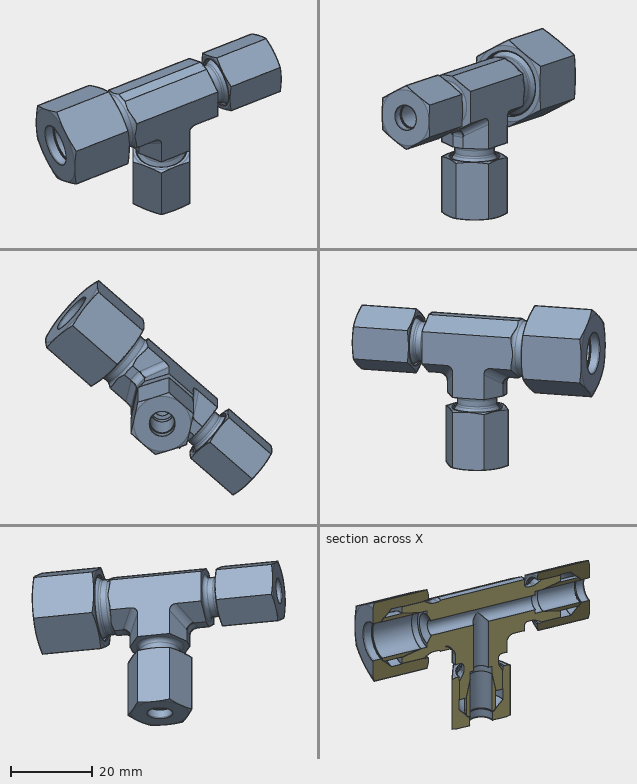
import cadquery as cq
import math


ARM_REACH = 30.0
HOLE_START = 27.7
THREAD_END = 22.0
TUBE_STOP = 15.0

BODY_ACROSS_FLATS = 14.0
BODY_HEIGHT = 14.4
ELBOW_RADIUS = 2.0
BORE_DIAMETER = 4.0
FLOW_CONE_DIAMETER = 8.0
FLOW_CONE_LENGTH = 1.15

RELIEF_RADIUS = 1.0
RUNOUT_ANGLE = math.radians(30)
RUNOUT_TO_NUT = 0.55
SEAT_ANGLE = math.radians(12)

HEX_CHAMFER_ANGLE = math.radians(15)
MOUTH_CHAMFER = 0.25
HOLE_CLEARANCE = 0.2
LIP_WIDTH = 0.09
LIP_DEPTH = 0.3
FERRULE_GAP = 0.35

LARGE = {
    "shoulder": 11.0,
    "neck_diameter": 13.7,
    "thread_diameter": 16.0,
    "seat_diameter": 12.3,
    "tube_diameter": 10.0,
    "nut_face": 14.5,
    "nut_across_flats": 19.0,
}
SMALL = {
    "shoulder": 12.0,
    "neck_diameter": 9.7,
    "thread_diameter": 12.0,
    "seat_diameter": 8.1,
    "tube_diameter": 6.0,
    "nut_face": 15.5,
    "nut_across_flats": BODY_ACROSS_FLATS,
}



def turn_about_x(shape, degrees):
    return shape.rotate((0, 0, 0), (1, 0, 0), degrees)


def to_front(shape):
    """Turn +Z to -Y."""
    return turn_about_x(shape, 90)


def to_back(shape):
    """Turn +Z to +Y."""
    return turn_about_x(shape, -90)


def to_bottom(shape):
    """Turn +Z to -Z."""
    return turn_about_x(shape, 180)


ARMS = [(LARGE, to_front), (SMALL, to_back), (SMALL, to_bottom)]


def revolve(profile):
    """Close a (radius, height) profile and turn it around Z."""
    return profile.close().revolve(360, (0, 0, 0), (0, 1, 0))


def corner_radius(across_flats):
    return across_flats / 2 / math.cos(math.pi / 6)


def hex_bar(across_flats, start, end):
    """Hexagonal bar along Z with flats facing -X and +X."""
    bar = cq.Workplane("XY").polygon(6, 2 * corner_radius(across_flats)).extrude(end - start)
    return bar.rotate((0, 0, 0), (0, 0, 1), 90).translate((0, 0, start))


def seat_start(size):
    """Height at which the ferrule seat begins to widen from the tube socket."""
    widening = (size["seat_diameter"] - size["tube_diameter"]) / 2
    return THREAD_END - widening / math.tan(SEAT_ANGLE)


def hole_radius(size):
    return (size["tube_diameter"] + HOLE_CLEARANCE) / 2



def neck_start(size):
    return size["shoulder"] + RELIEF_RADIUS


def body_bar(start, end):
    slab = cq.Workplane("XY").box(2 * BODY_ACROSS_FLATS, BODY_HEIGHT, 2 * ARM_REACH)
    return hex_bar(BODY_ACROSS_FLATS, start, end).intersect(slab)


def is_elbow_edge(edge):
    """True for an edge on a mitre plane (y = z or y = -z) below the axis of the run."""
    points = [edge.startPoint(), edge.endPoint()]
    return all(p.z < 0 and math.isclose(abs(p.y), abs(p.z), abs_tol=6e-05) for p in points)


def tee_bars():
    """Run and branch bars, joined with rounded inner corners."""
    run = to_back(body_bar(-neck_start(LARGE), neck_start(SMALL)))
    branch = to_bottom(body_bar(0, neck_start(SMALL)))
    tee = run.union(branch)
    elbow_edges = [edge for edge in tee.edges().vals() if is_elbow_edge(edge)]
    return tee.newObject(elbow_edges).fillet(ELBOW_RADIUS)


def relief_ring(size):
    """Ring that cuts the end of a bar back to its shoulder, with a quarter round up to the neck."""
    shoulder = size["shoulder"]
    neck = size["neck_diameter"] / 2
    round_edge = neck + RELIEF_RADIUS
    arc_step = RELIEF_RADIUS * math.sin(math.pi / 4)
    arc_middle = (round_edge - arc_step, neck_start(size) - arc_step)
    return revolve(
        cq.Workplane("XZ")
        .moveTo(BODY_ACROSS_FLATS, shoulder)
        .lineTo(round_edge, shoulder)
        .threePointArc(arc_middle, (neck, neck_start(size)))
        .lineTo(BODY_ACROSS_FLATS, neck_start(size))
    )


def spigot(size):
    """Solid neck, runout cone and thread (at its outer diameter)."""
    neck = size["neck_diameter"] / 2
    thread = size["thread_diameter"] / 2
    cone_start = size["nut_face"] - RUNOUT_TO_NUT
    cone_radius = neck + RELIEF_RADIUS * (1 - math.cos(RUNOUT_ANGLE))
    cone_end = cone_start + (thread - cone_radius) / math.tan(RUNOUT_ANGLE)
    neck_end = cone_start - RELIEF_RADIUS * math.sin(RUNOUT_ANGLE)
    arc_middle = (
        neck + RELIEF_RADIUS * (1 - math.cos(RUNOUT_ANGLE / 2)),
        neck_end + RELIEF_RADIUS * math.sin(RUNOUT_ANGLE / 2),
    )
    return revolve(
        cq.Workplane("XZ")
        .lineTo(0, THREAD_END)
        .lineTo(thread, THREAD_END)
        .lineTo(thread, cone_end)
        .lineTo(cone_radius, cone_start)
        .threePointArc(arc_middle, (neck, neck_end))
        .lineTo(neck, 0)
    )


def passage(size):
    """Bore, tube socket and conical ferrule seat of one arm, as a solid to cut away."""
    bore = BORE_DIAMETER / 2
    tube = size["tube_diameter"] / 2
    return revolve(
        cq.Workplane("XZ")
        .lineTo(bore, 0)
        .lineTo(bore, TUBE_STOP)
        .lineTo(tube, TUBE_STOP)
        .lineTo(tube, seat_start(size))
        .lineTo(size["seat_diameter"] / 2, THREAD_END)
        .lineTo(0, THREAD_END)
    )


def flow_cone():
    cone_tip = TUBE_STOP - FLOW_CONE_LENGTH
    return revolve(
        cq.Workplane("XZ")
        .moveTo(0, cone_tip)
        .lineTo(BORE_DIAMETER / 2, cone_tip)
        .lineTo(FLOW_CONE_DIAMETER / 2, TUBE_STOP)
        .lineTo(0, TUBE_STOP)
    )


def make_body():
    tee = tee_bars()
    for size, turn in ARMS:
        tee = tee.cut(turn(relief_ring(size))).union(turn(spigot(size)))
    for size, turn in ARMS:
        tee = tee.cut(turn(passage(size)))
    return tee.cut(to_front(flow_cone()))



def nut_envelope(size):
    """Round blank that chamfers both ends of the hexagon."""
    start = size["nut_face"]
    flat = size["nut_across_flats"] / 2
    corner = corner_radius(size["nut_across_flats"])
    chamfer_height = (corner - flat) * math.tan(HEX_CHAMFER_ANGLE)
    return revolve(
        cq.Workplane("XZ")
        .moveTo(0, start)
        .lineTo(flat, start)
        .lineTo(corner, start + chamfer_height)
        .lineTo(corner, ARM_REACH - chamfer_height)
        .lineTo(flat, ARM_REACH)
        .lineTo(0, ARM_REACH)
    )


def nut_cavity(size):
    """Thread bore, 45 degree shoulder for the ferrule, and tube hole."""
    start = size["nut_face"]
    thread = size["thread_diameter"] / 2
    hole = hole_radius(size)
    return revolve(
        cq.Workplane("XZ")
        .moveTo(0, start)
        .lineTo(thread + MOUTH_CHAMFER, start)
        .lineTo(thread, start + MOUTH_CHAMFER)
        .lineTo(thread, HOLE_START - (thread - hole))
        .lineTo(hole, HOLE_START)
        .lineTo(hole, ARM_REACH - LIP_DEPTH)
        .lineTo(hole + LIP_WIDTH, ARM_REACH)
        .lineTo(0, ARM_REACH)
    )


def make_nut(size):
    blank = hex_bar(size["nut_across_flats"], size["nut_face"], ARM_REACH)
    return blank.intersect(nut_envelope(size)).cut(nut_cavity(size))



def make_ferrule(size):
    """Ring that fills the seat in the spigot and bears on the 45 degree shoulder of the nut."""
    tube = size["tube_diameter"] / 2
    collar = size["seat_diameter"] / 2
    hole = hole_radius(size)
    back = HOLE_START - FERRULE_GAP
    return revolve(
        cq.Workplane("XZ")
        .moveTo(tube, seat_start(size))
        .lineTo(collar, THREAD_END)
        .lineTo(collar, HOLE_START - (collar - hole))
        .lineTo(hole + FERRULE_GAP, back)
        .lineTo(tube, back)
    )



body = make_body()
nuts = [turn(make_nut(size)) for size, turn in ARMS]
ferrules = [turn(make_ferrule(size)) for size, turn in ARMS]

result = cq.Compound.makeCompound([part.val() for part in [body, *nuts, *ferrules]])